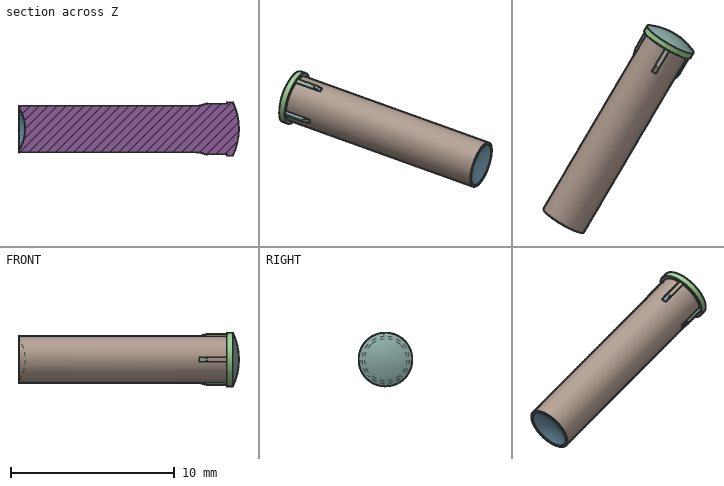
import cadquery as cq

length = 13.46
body_radius = 1.44
head_radius = 1.649
head_start = 12.7
dome_height = 0.38
dome_start = length - dome_height

dish_radius = 1.29
dish_depth = 0.38

rib_count = 4
rib_start = 11.04
ramp_end = 11.51
rib_top = 1.568
rib_width = 0.3
rib_edge_radius = 0.087
rib_embed = 0.13
rib_root = body_radius - rib_embed


def cap_radius(base_radius, height):
    """Sphere radius of a cap with the given base radius and height."""
    return (base_radius**2 + height**2) / (2 * height)


def cap_middle(base_radius, height):
    """Axial rise and radius of a cap point halfway along its radius."""
    sphere = cap_radius(base_radius, height)
    middle_radius = base_radius / 2
    rise = height - sphere + (sphere**2 - middle_radius**2) ** 0.5
    return rise, middle_radius


def make_pin():
    """Revolve the body, head, dome and dished end as one profile."""
    dome_rise, dome_middle = cap_middle(head_radius, dome_height)
    dish_rise, dish_middle = cap_middle(dish_radius, dish_depth)
    profile = (
        cq.Workplane("XY")
        .moveTo(dish_depth, 0)
        .threePointArc((dish_rise, dish_middle), (0, dish_radius))
        .lineTo(0, body_radius)
        .lineTo(head_start, body_radius)
        .lineTo(head_start, head_radius)
        .lineTo(dome_start, head_radius)
        .threePointArc((dome_start + dome_rise, dome_middle), (length, 0))
        .close()
    )
    return profile.revolve(360, (0, 0, 0), (1, 0, 0))


def make_rib():
    """Rounded rib on the +Z side, ramped down to the body at its free end."""
    rib = (
        cq.Workplane("XY")
        .box(dome_start - rib_start, rib_width, rib_top - rib_root, centered=(False, True, False))
        .translate((rib_start, 0, rib_root))
        .edges("|X and >Z")
        .fillet(rib_edge_radius)
    )
    ramp_profile = (
        cq.Workplane("XZ")
        .moveTo(rib_start, rib_root)
        .lineTo(rib_start, body_radius)
        .lineTo(ramp_end, rib_top)
        .lineTo(dome_start, rib_top)
        .lineTo(dome_start, rib_root)
        .close()
        .extrude(rib_width, both=True)
    )
    return rib.intersect(ramp_profile)


result = make_pin()
rib = make_rib()
for index in range(rib_count):
    rib_angle = index * 360 / rib_count
    result = result.union(rib.rotate((0, 0, 0), (1, 0, 0), rib_angle))